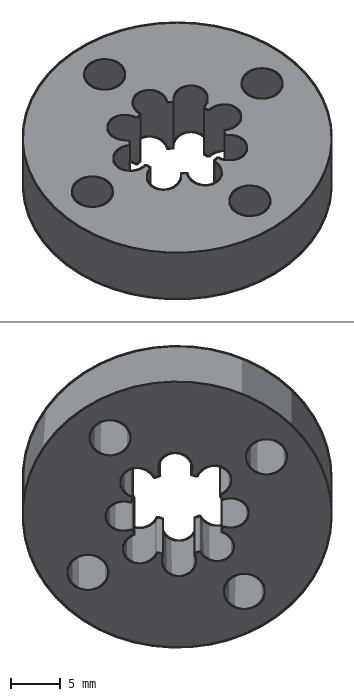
import cadquery as cq
import math

disc_diameter = 31.0
disc_thickness = 7.0

hole_count = 4
hole_diameter = 4.1
bolt_circle_radius = 11.2
first_hole_angle = 77.5

lobe_count = 8
lobe_radius = 1.67
lobe_center_radius = 5.5
lobe_half_angle = 64.0
tooth_tip_radius = 4.82
tooth_half_width = 0.33
tooth_corner_radius = 0.1

pitch_angle = 360.0 / lobe_count


def polar(radius, angle):
    return (radius * math.cos(math.radians(angle)), radius * math.sin(math.radians(angle)))


def tooth_half_points():
    """Points of one tooth side as (distance from disc axis, offset from tooth axis), tip to root."""
    lobe_along, lobe_across = polar(lobe_center_radius, pitch_angle / 2)
    corner_inset = tooth_corner_radius * (1 - math.sqrt(0.5))
    tip = (tooth_tip_radius, tooth_half_width - tooth_corner_radius)
    corner_middle = (tooth_tip_radius + corner_inset, tooth_half_width - corner_inset)
    corner_end = (tooth_tip_radius + tooth_corner_radius, tooth_half_width)

    root_angle = pitch_angle / 2 - lobe_half_angle
    normal_along, normal_across = polar(1, root_angle)
    root = (lobe_along + lobe_radius * normal_along, lobe_across + lobe_radius * normal_across)

    chord_along = root[0] - corner_end[0]
    chord_across = root[1] - corner_end[1]
    chord_depth = chord_along * normal_along + chord_across * normal_across
    flank_radius = (chord_along**2 + chord_across**2) / (2 * chord_depth)
    center_along = root[0] - flank_radius * normal_along
    center_across = root[1] - flank_radius * normal_across

    end_angle = math.degrees(math.atan2(corner_end[1] - center_across, corner_end[0] - center_along))
    middle_along, middle_across = polar(flank_radius, (root_angle + end_angle) / 2)
    flank_middle = (center_along + middle_along, center_across + middle_across)
    return tip, corner_middle, corner_end, flank_middle, root


def place(point, tooth_angle, side):
    """Position a tooth point in the XY plane; side is +1 or -1 across the tooth axis."""
    along, across = point
    return polar(math.hypot(along, across), tooth_angle + side * math.degrees(math.atan2(across, along)))


def lobed_opening():
    tip, corner_middle, corner_end, flank_middle, root = tooth_half_points()
    outline = cq.Workplane("XY").moveTo(*place(root, 0, -1))
    for index in range(lobe_count):
        tooth_angle = index * pitch_angle
        next_tooth_angle = tooth_angle + pitch_angle
        lobe_crest = polar(lobe_center_radius + lobe_radius, tooth_angle + pitch_angle / 2)
        outline = (
            outline.threePointArc(place(flank_middle, tooth_angle, -1), place(corner_end, tooth_angle, -1))
            .threePointArc(place(corner_middle, tooth_angle, -1), place(tip, tooth_angle, -1))
            .lineTo(*place(tip, tooth_angle, 1))
            .threePointArc(place(corner_middle, tooth_angle, 1), place(corner_end, tooth_angle, 1))
            .threePointArc(place(flank_middle, tooth_angle, 1), place(root, tooth_angle, 1))
            .threePointArc(lobe_crest, place(root, next_tooth_angle, -1))
        )
    return outline.close().extrude(disc_thickness)


def bolt_holes():
    return (
        cq.Workplane("XY")
        .polarArray(bolt_circle_radius, first_hole_angle, 360, hole_count)
        .circle(hole_diameter / 2)
        .extrude(disc_thickness)
    )


disc = cq.Workplane("XY").circle(disc_diameter / 2).extrude(disc_thickness)
result = disc.cut(lobed_opening()).cut(bolt_holes())